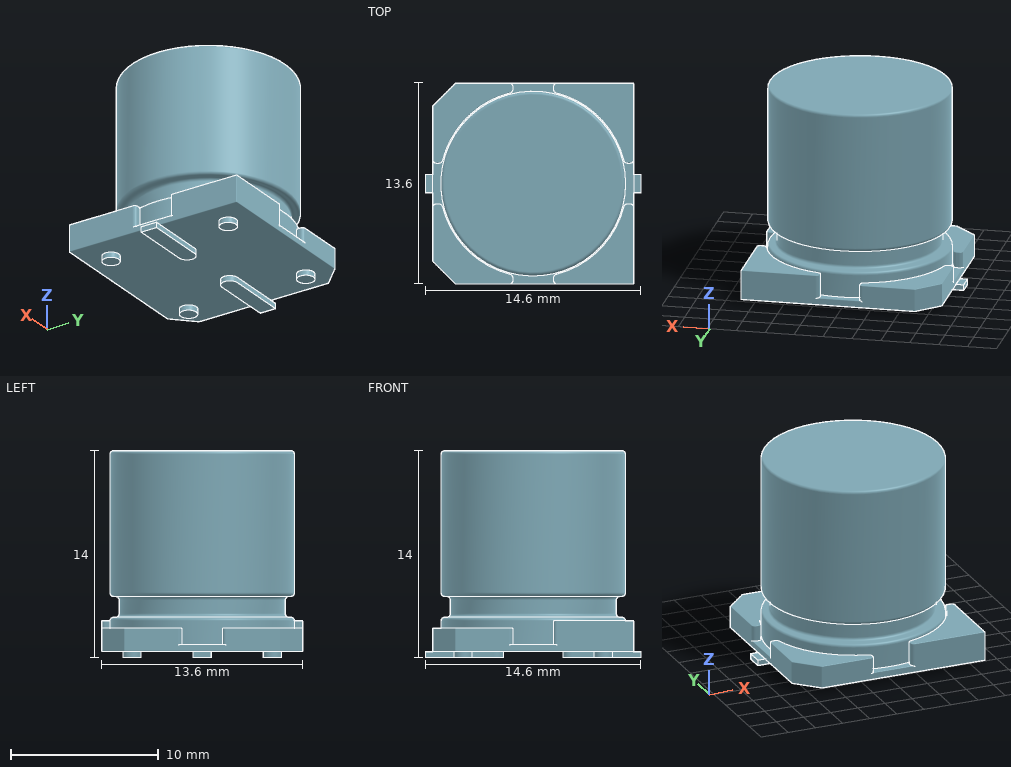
import cadquery as cq

total_height = 14.0
lead_span = 14.6

can_radius = 12.5 / 2
neck_radius = 11.25 / 2
can_round = 0.25
neck_shoulder_low = 2.73
neck_shoulder_high = 4.13

base_side = 13.6
base_bottom = 0.4
floor_top = 0.9
low_corner_top = 2.0
high_corner_top = 2.5
corner_chamfer = 1.55
seat_clearance = 0.08
seat_radius = can_radius + seat_clearance
notch_width = 2.75
notch_round = 0.25
edge_round = 0.055

lead_width = 1.25
lead_inner_end = 2.0
foot_diameter = 1.25
foot_offset = 4.75


def make_can():
    """Revolve the can with its rolled neck."""
    flat_inner = neck_radius + can_round
    flat_outer = can_radius - can_round
    profile = (
        cq.Workplane("XZ")
        .moveTo(0, floor_top)
        .lineTo(can_radius, floor_top)
        .lineTo(can_radius, neck_shoulder_low - can_round)
        .radiusArc((flat_outer, neck_shoulder_low), -can_round)
        .lineTo(flat_inner, neck_shoulder_low)
        .radiusArc((neck_radius, neck_shoulder_low + can_round), can_round)
        .lineTo(neck_radius, neck_shoulder_high - can_round)
        .radiusArc((flat_inner, neck_shoulder_high), can_round)
        .lineTo(flat_outer, neck_shoulder_high)
        .radiusArc((can_radius, neck_shoulder_high + can_round), -can_round)
        .lineTo(can_radius, total_height - can_round)
        .radiusArc((flat_outer, total_height), -can_round)
        .lineTo(0, total_height)
        .close()
    )
    return profile.revolve(360, (0, 0, 0), (0, 1, 0))


def base_plate(top):
    """Square plate from the base underside to `top`, chamfered at its two -X corners."""
    return (
        cq.Workplane("XY", origin=(0, 0, base_bottom))
        .rect(base_side, base_side)
        .extrude(top - base_bottom)
        .edges("|Z and <X")
        .chamfer(corner_chamfer)
        .edges("|Z")
        .fillet(edge_round)
        .faces("<Z or >Z")
        .edges()
        .fillet(edge_round)
    )


def corner_block(x_sign, y_sign, top):
    """One raised corner of the base, bounded by two notches and the can seat."""
    block_side = (base_side - notch_width) / 2
    block_center = (base_side + notch_width) / 4
    seat = cq.Workplane("XY").circle(seat_radius).extrude(total_height)
    block = (
        cq.Workplane("XY", origin=(0, 0, base_bottom))
        .center(x_sign * block_center, y_sign * block_center)
        .rect(block_side, block_side)
        .extrude(top - base_bottom)
        .cut(seat)
    )
    outer_corner = cq.selectors.NearestToPointSelector(
        (x_sign * base_side / 2, y_sign * base_side / 2, (base_bottom + top) / 2)
    )
    notch_edges = cq.selectors.ParallelDirSelector(cq.Vector(0, 0, 1)) - outer_corner
    block = block.edges(notch_edges).fillet(notch_round)
    block = block.faces(">Z").edges().fillet(edge_round)
    return block.intersect(base_plate(top))


def make_base():
    base = base_plate(floor_top)
    for y_sign in (-1, 1):
        base = base.union(corner_block(-1, y_sign, low_corner_top))
        base = base.union(corner_block(1, y_sign, high_corner_top))
    return base


def make_lead(x_sign):
    """Flat lead running out past the base, with a rounded inner tip."""
    tip_center = lead_inner_end + lead_width / 2
    bar_length = lead_span / 2 - tip_center
    bar = (
        cq.Workplane("XY")
        .center(x_sign * (tip_center + bar_length / 2), 0)
        .rect(bar_length, lead_width)
        .extrude(base_bottom)
    )
    tip = (
        cq.Workplane("XY")
        .center(x_sign * tip_center, 0)
        .circle(lead_width / 2)
        .extrude(base_bottom)
    )
    return bar.union(tip)


def make_feet():
    """Four round standoff feet under the base."""
    return (
        cq.Workplane("XY")
        .rect(2 * foot_offset, 2 * foot_offset, forConstruction=True)
        .vertices()
        .circle(foot_diameter / 2)
        .extrude(base_bottom)
    )


result = make_base().union(make_can()).union(make_feet())
for side in (-1, 1):
    result = result.union(make_lead(side))